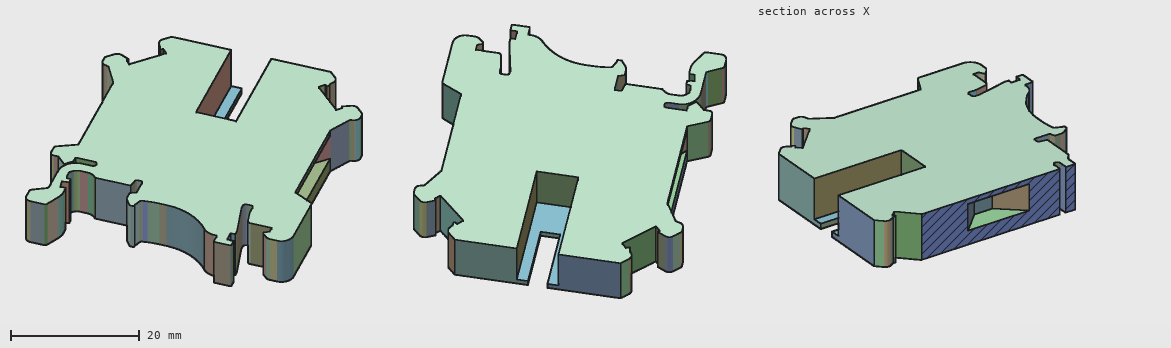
import cadquery as cq
import math

length = 45.9
width = 42.5
thickness = 8.15
top = length / 2
bottom = -length / 2
side = width / 2

flank = 17.9
flank_top = 9.2
flank_bottom = -7.15
shoulder = -8.85

slot_width = 3.08
slot_depth = 10.5
recess_width = 6.6
recess_depth = 16.45

cover_wall = 0.95
pocket_floor = 2.55
pocket_depth = 5.95
pocket_flat = 3.4
recess_floor = cover_wall

slit_roof = -12.5
rail_seat = -14.1
foot_seat = -16.7
foot_bottom = -19.4
arch_crown = -16.8
post_ledge = -21.35
post_side = 12.9
spring_outer = -18.7
spring_inner = -16.95
spring_tip = -16.1
spring_slot_floor = -11.48
spring_slot_roof = -10.37
spring_slot_end = -13.6
spring_slot_radius = 0.5


lugs = [
    (13.15, top),
    (14.8, 21.3, 1.0),
    (14.0, 19.95),
    (14.0, 19.4, 0.15),
    (13.7, 19.4),
    (13.35, 19.65),
    (12.58, 18.77),
    (17.07, 14.3),
    (17.8, 15.1),
    (17.6, 15.4),
    (19.55, 16.4, 1.0),
    (side, 14.75, 0.8),
    (side, 13.05, 0.9),
    (19.9, 12.65, 0.35),
    (flank, flank_top),
]

fixed_foot = [
    (flank, flank_bottom),
    (side, shoulder, 0.6),
    (side, foot_bottom, 2.0),
    (17.63, foot_bottom, 1.15),
    (16.55, -18.45),
    (16.55, -18.1, 0.15),
    (17.4, -17.75, 0.15),
    (17.4, foot_seat),
    (13.4, foot_seat, 0.55),
    (post_side, -14.25, 1.38),
    (post_side, slit_roof, 0.45),
]

post = [
    (11.3, slit_roof, 0.5),
    (11.3, -13.6, 1.38),
    (12.58, -19.32),
    (12.58, -20.05),
    (11.8, -20.05),
    (11.8, -21.7, 0.15),
    (post_side, -21.7),
    (post_side, bottom, 0.2),
    (10.0, bottom, 0.2),
    (10.0, post_ledge, 0.25),
]

arch = [
    (8.3, post_ledge, 2.52),
    (4.75, arch_crown, 9.55),
    (-2.05, arch_crown, 13.75),
    (-4.1, -17.07, 0.45),
    (-4.6, -18.35),
    (-4.6, -18.77, 0.2),
    (-5.32, -18.77, 0.25),
    (-6.35, -17.4, 1.15),
    (-6.35, -15.85, 0.15),
    (-5.35, -15.45, 0.15),
    (-5.35, slit_roof, 0.28),
    (-6.5, slit_roof, 0.35),
    (-6.8, rail_seat),
    (-12.6, rail_seat),
]

spring_leg = [
    (-13.55, -13.25, 1.6),
    (-16.0, -13.25, 1.38),
    (spring_inner, -14.1, 0.35),
    (spring_inner, -15.7, 0.4),
    (spring_tip, -15.7),
    (spring_tip, -16.52),
    (-17.25, -16.65, 0.1),
    (-17.05, -18.0, 0.1),
    (spring_tip, -18.0, 0.15),
    (spring_tip, -19.87, 3.2),
    (-17.65, bottom, 0.55),
    (-side, bottom, 1.0),
    (-side, -20.3, 0.55),
    (spring_outer, -18.85, 0.45),
    (spring_outer, spring_slot_floor, 2.9),
    (spring_slot_end, spring_slot_floor, spring_slot_radius),
    (spring_slot_end, spring_slot_roof, spring_slot_radius),
]

left_stop = [
    (-17.2, spring_slot_roof),
    (-17.2, -11.35),
    (-18.35, -12.5),
    (-19.85, -11.0),
    (-side, -11.0, 0.6),
    (-side, shoulder, 0.6),
    (-flank, flank_bottom),
]


def mirrored(corners):
    """Corners reflected across the YZ plane, in reverse order."""
    return [(-x, *rest) for x, *rest in reversed(corners)]


def toward(start, target, distance):
    """Point at a distance from start on the way to target."""
    share = distance / math.dist(start, target)
    return tuple(s + share * (t - s) for s, t in zip(start, target))


def rounded_outline(corners):
    """Closed wire along the corners, with a tangent arc at each rounded one."""
    stops = []
    for index, (x, y, *rounding) in enumerate(corners):
        corner = (x, y)
        if not rounding:
            stops.append((corner,))
            continue
        radius = rounding[0]
        before = corners[index - 1][:2]
        after = corners[(index + 1) % len(corners)][:2]
        toward_before = toward(corner, before, 0.45)
        toward_after = toward(corner, after, 0.45)
        half_chord = math.dist(toward_before, toward_after) / 0.9
        half_angle = math.asin(half_chord)
        tangent_length = radius / math.tan(half_angle)
        arc_offset = radius / math.sin(half_angle) - radius
        bisector = tuple((a + b) / 2 for a, b in zip(toward_before, toward_after))
        stops.append((
            toward(corner, before, tangent_length),
            toward(corner, bisector, arc_offset),
            toward(corner, after, tangent_length),
        ))

    wire = cq.Workplane("XY").moveTo(*stops[0][-1])
    for stop in stops[1:] + stops[:1]:
        wire = wire.lineTo(*stop[0])
        if len(stop) > 1:
            wire = wire.threePointArc(*stop[1:])
    return wire.close()


def top_opening(opening_width, depth, floor):
    """Cutter for a rectangular opening in the middle of the top edge."""
    return (
        cq.Workplane("XY", origin=(0, top - depth / 2, floor))
        .rect(opening_width, depth)
        .extrude(thickness - floor)
    )


def wire_pocket():
    """Cutter for the left pocket, with a flat back between slanted ends."""
    back = -flank + pocket_depth
    back_top = flank_top - pocket_depth
    return (
        cq.Workplane("XY", origin=(0, 0, pocket_floor))
        .moveTo(-flank, flank_top)
        .lineTo(back, back_top)
        .lineTo(back, back_top - pocket_flat)
        .lineTo(-flank, flank_bottom)
        .close()
        .extrude(thickness - cover_wall - pocket_floor)
    )


outline = lugs + fixed_foot + post + arch + spring_leg + left_stop + mirrored(lugs)
body = rounded_outline(outline).extrude(thickness)

left_pocket = wire_pocket()
result = (
    body.cut(top_opening(slot_width, slot_depth, 0))
    .cut(top_opening(recess_width, recess_depth, recess_floor))
    .cut(left_pocket)
    .cut(left_pocket.mirror("YZ"))
)